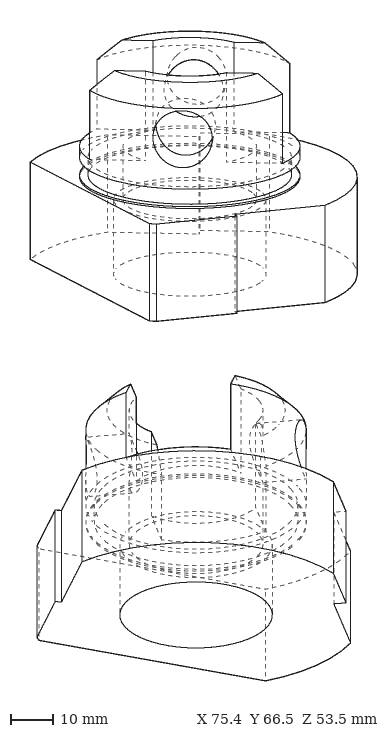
import cadquery as cq

base_radius = 39.5
base_height = 24.0
front_flat_distance = 27.0
left_flat_angle = 147
left_flat_upper = 36.0
left_flat_lower = 33.0
right_flat_angle = -10
right_flat_upper = 32.5
right_flat_lower = 34.0

seat_diameter = 52
seat_height = 0.45
neck_diameter = 48.0
collar_diameter = 52
collar_bottom = 28.7
total_height = 53.5
collar_chamfer = 5.0

bore_diameter = 31.5
counterbore_diameter = 36.0
counterbore_depth = 18.4

slot_width = 25.0
slot_floor = 31.5
pin_diameter = 14.0
pin_height = 41.0

clearance = 2 * base_radius


def cylinder(diameter, bottom, top):
    return cq.Workplane("XY").workplane(offset=bottom).circle(diameter / 2).extrude(top - bottom)


def flat_cutter(normal_angle, distance, side_start, side_end):
    """Block beyond a flat, turned so that the flat's outward normal is at normal_angle."""
    width = side_end - side_start
    block = cq.Workplane("XY").box(clearance, width, base_height, centered=False)
    block = block.translate((distance, side_start, 0))
    return block.rotate((0, 0, 0), (0, 0, 1), normal_angle)


def make_base():
    base = cylinder(2 * base_radius, 0, base_height)
    base = base.cut(flat_cutter(-90, front_flat_distance, -clearance, clearance))
    base = base.cut(flat_cutter(left_flat_angle, left_flat_upper, -clearance, 0))
    base = base.cut(flat_cutter(left_flat_angle, left_flat_lower, 0, clearance))
    base = base.cut(flat_cutter(right_flat_angle, right_flat_upper, 0, clearance))
    return base.cut(flat_cutter(right_flat_angle, right_flat_lower, -clearance, 0))


def make_collar():
    seat_top = base_height + seat_height
    seat = cylinder(seat_diameter, base_height, seat_top)
    neck = cylinder(neck_diameter, seat_top, collar_bottom)
    head = cylinder(collar_diameter, collar_bottom, total_height)
    head = head.faces(">Z").edges().chamfer(collar_chamfer)
    return seat.union(neck).union(head)


def make_slot():
    slot = cq.Workplane("XY").box(slot_width, clearance, total_height, centered=(True, True, False))
    slot = slot.translate((0, 0, slot_floor))
    return slot.rotate((0, 0, 0), (0, 0, 1), left_flat_angle)


def make_pin_hole():
    hole = cq.Workplane("YZ").center(0, pin_height).circle(pin_diameter / 2)
    hole = hole.extrude(clearance / 2, both=True)
    return hole.rotate((0, 0, 0), (0, 0, 1), left_flat_angle)


result = make_base().union(make_collar())
result = result.cut(cylinder(bore_diameter, 0, total_height))
result = result.cut(cylinder(counterbore_diameter, 0, counterbore_depth))
result = result.cut(make_slot())
result = result.cut(make_pin_hole())